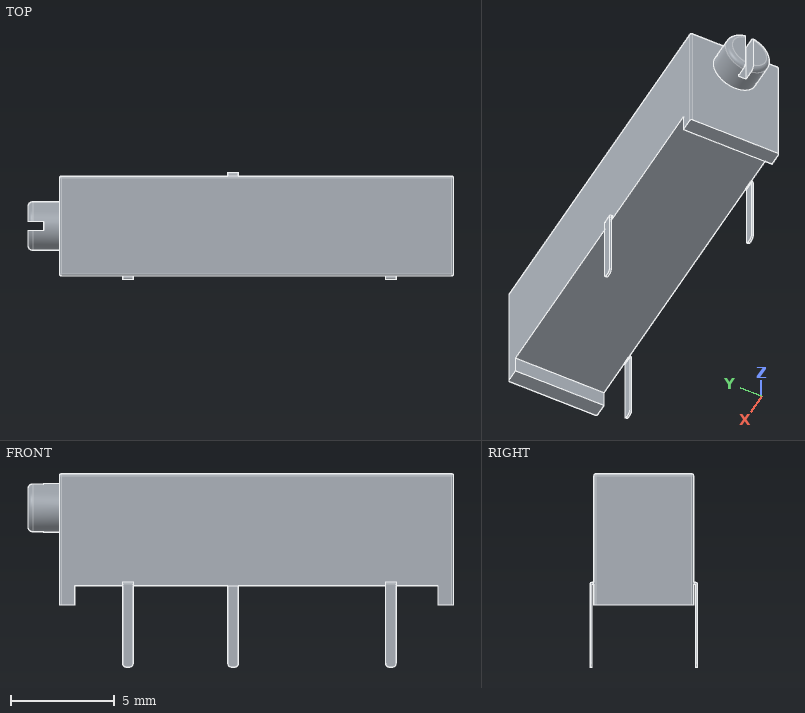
import cadquery as cq

BODY_LENGTH = 19.05
BODY_WIDTH = 4.83
BODY_HEIGHT = 6.35
EDGE_RADIUS = 0.1
FOOT_LENGTH = 0.76
FOOT_HEIGHT = 0.93

SCREW_DIAMETER = 2.36
SCREW_LENGTH = 1.52
SCREW_DROP = 1.65
SCREW_EDGE_RADIUS = 0.25
SLOT_WIDTH = 0.43
SLOT_DEPTH = 0.76

LEAD_WIDTH = 0.52
LEAD_THICKNESS = 0.1
LEAD_TIP_Z = -3.0
LEAD_TOP_Z = 1.11
LEAD_TIP_RADIUS = 0.2
LEAD_BEND_RADIUS = 0.09
LEAD_SPAN = 5.18
LEAD_EMBED = 0.5
FIRST_LEAD_X = 3.315
SECOND_LEAD_PITCH = 5.08
THIRD_LEAD_PITCH = 12.7
FRONT = -1
BACK = 1
LEADS = [
    (FIRST_LEAD_X, FRONT),
    (FIRST_LEAD_X + SECOND_LEAD_PITCH, BACK),
    (FIRST_LEAD_X + THIRD_LEAD_PITCH, FRONT),
]


def make_body():
    """Box with rounded top and upright edges, standing on a foot at each end."""
    box = cq.Workplane("XY").box(BODY_LENGTH, BODY_WIDTH, BODY_HEIGHT, centered=(False, True, False))
    box = box.edges("|Z or >Z").fillet(EDGE_RADIUS)
    recess_length = BODY_LENGTH - 2 * FOOT_LENGTH
    recess = (
        cq.Workplane("XY")
        .box(recess_length, BODY_WIDTH, FOOT_HEIGHT, centered=(False, True, False))
        .translate((FOOT_LENGTH, 0, 0))
    )
    return box.cut(recess)


def make_screw():
    """Round screw head with a rounded rim and an upright driver slot."""
    axis_z = BODY_HEIGHT - SCREW_DROP
    head = (
        cq.Workplane("YZ")
        .center(0, axis_z)
        .circle(SCREW_DIAMETER / 2)
        .extrude(-SCREW_LENGTH)
        .faces("<X")
        .edges()
        .fillet(SCREW_EDGE_RADIUS)
    )
    slot = (
        cq.Workplane("XY")
        .box(SLOT_DEPTH, SLOT_WIDTH, SCREW_DIAMETER, centered=(False, True, True))
        .translate((-SCREW_LENGTH, 0, axis_z))
    )
    return head.cut(slot)


def make_lead(x, side):
    """L-shaped strip: a tab set into the side wall and a leg hanging outside it."""
    outer_y = LEAD_SPAN / 2
    inner_y = outer_y - LEAD_THICKNESS
    tab_end_y = BODY_WIDTH / 2 - LEAD_EMBED
    tab_bottom_z = LEAD_TOP_Z - LEAD_THICKNESS
    profile = [
        (tab_end_y, LEAD_TOP_Z),
        (outer_y, LEAD_TOP_Z),
        (outer_y, LEAD_TIP_Z),
        (inner_y, LEAD_TIP_Z),
        (inner_y, tab_bottom_z),
        (tab_end_y, tab_bottom_z),
    ]
    lead = cq.Workplane("YZ").polyline(profile).close().extrude(LEAD_WIDTH / 2, both=True)
    lead = lead.edges("|Y and <Z").fillet(LEAD_TIP_RADIUS)
    lead = lead.edges("|X and >Z and >Y").fillet(LEAD_BEND_RADIUS)
    lead = lead.translate((x, 0, 0))
    if side == FRONT:
        lead = lead.mirror("XZ")
    return lead


result = make_body().union(make_screw())
for lead_x, lead_side in LEADS:
    result = result.union(make_lead(lead_x, lead_side))